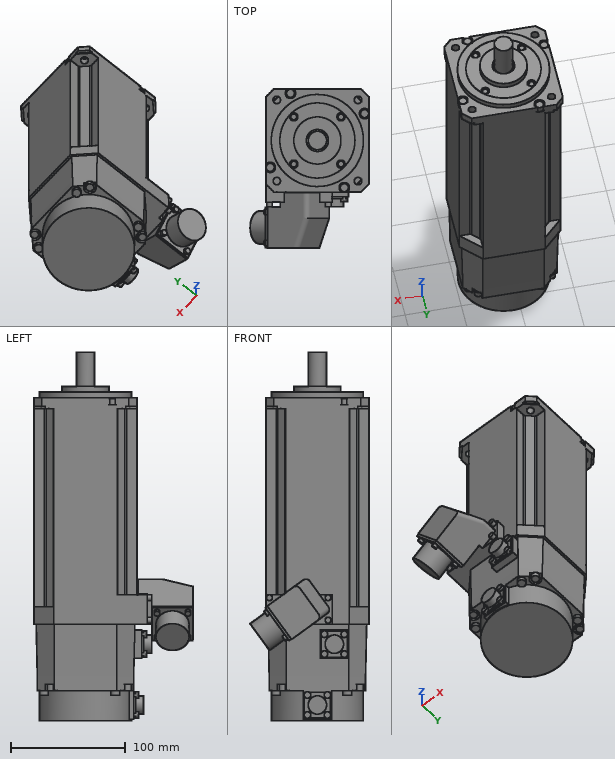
import cadquery as cq


SHAFT_TOP = 321.0
BOSS_TOP = 291.0
PILOT_TOP = 286.3
FLANGE_TOP = 281.5
CORNER_RELIEF_TOP = 273.8
GROOVE_TOP = 272.0
PAD_TOP = 109.8
GROOVE_BOTTOM = 99.5
BODY_BOTTOM = 84.0
REAR_SEAM = 38.5
REAR_BOTTOM = 26.3

BODY_HALF = 45.0
FLANGE_CHAMFER = 7.0
CORNER_RELIEF = 10.0
GROOVE_EDGE = 27.5
GROOVE_WALL_END = 36.0
GROOVE_BEVEL = (28.2, 34.5)
BODY_CHAMFER = BODY_HALF - GROOVE_EDGE

SHAFT_RADIUS = 8.0
BOSS_RADIUS = 20.5
SEAL_RADIUS = 9.5
SEAL_DEPTH = 2.0
PILOT_RADIUS = 40.0
PILOT_RECESS_RADIUS = 32.7
PILOT_RECESS_DEPTH = 0.3
PILOT_SCREW_OFFSET = 20.5
PILOT_SCREW_RADIUS = 2.5
PILOT_BORE_RADIUS = 3.5
PILOT_BORE_DEPTH = 2.5

MOUNT_HOLE_OFFSET = 35.3
MOUNT_HOLE_RADIUS = 3.2
FLANGE_SCREW_AT = (-23.5, 41.0)
FLANGE_BORE_RADIUS = 4.5
FLANGE_HEAD_RADIUS = 3.5
FLANGE_BORE_DEPTH = 6.5
SCREW_SINK = 1.0

REAR_HALF = 43.0
REAR_SEAM_HALF = 42.0
REAR_FACET_EDGE = 27.3
REAR_POCKET_AT = (-30.0, -36.3)
REAR_POCKET_RADIUS = 5.5
REAR_POCKET_HEIGHT = 5.5
REAR_SCREW_RADIUS = 3.5
COVER_RADIUS = 40.0
COVER_SCREW_AT = (26.0, -36.3)
COVER_SCREW_RADIUS = 4.0
COVER_SCREW_HEIGHT = 4.0

PAD_RIGHT = 13.0
PAD_FACE = 53.5
PAD_SCREW_X = (-41.7, 9.3)
PAD_SCREW_Z = (87.5, 107.2)
PAD_SCREW_RADIUS = 2.5

PLUG_TILT = 36.0
PLUG_X = -33.0
PLUG_Z = 85.5
PLUG_WIDTH = 36.0
PLUG_BACK = 57.8
PLUG_FRONT = 93.7
PLUG_HEEL_BACK = 45.5
PLUG_HEEL_LEFT = -29.0
PLUG_LENGTH = 42.7
PLUG_FRONT_LENGTH = 32.0
PLUG_NECK_LEFT = -32.5
PLUG_SLOPE_START = 67.7
PLUG_END_FILLET = 4.2
PLUG_PLATE = 2.2
PLUG_PLATE_INSET = 0.3
PLUG_RADIUS = 14.5
PLUG_REACH = 21.2
PLUG_SCREW_OFFSET = 13.5
PLUG_SCREW_RADIUS = 2.5
PLUG_SCREW_HEIGHT = 3.0

SOCKET_PLATE = 22.5
SOCKET_SCREW_OFFSET = 8.7
SOCKET_SCREW_RADIUS = 3.0
SOCKET_RADIUS = 8.0
SOCKET_ROOT = BODY_HALF / 2
REAR_SOCKET_X = 14.8
REAR_SOCKET_Z = 66.8
REAR_SOCKET_BLOCK = 24.7
REAR_SOCKET_FACE = 49.0
COVER_SOCKET_BLOCK = 25.0
COVER_SOCKET_Z = REAR_BOTTOM - COVER_SOCKET_BLOCK / 2
COVER_SOCKET_FACE = REAR_SEAM_HALF
SOCKET_PLATE_DEPTH = 1.5
SOCKET_SCREW_HEIGHT = 2.5
SOCKET_REACH = 8.7


def cylinder(x, y, radius, bottom, top):
    """Upright cylinder between two heights."""
    return cq.Workplane("XY", origin=(x, y, bottom)).circle(radius).extrude(top - bottom)


def block(x_range, y_range, z_range):
    """Box given by its limits along each axis."""
    size = [high - low for low, high in (x_range, y_range, z_range)]
    corner = (x_range[0], y_range[0], z_range[0])
    return cq.Workplane("XY").box(*size, centered=False).translate(corner)


def square_prism(half, bottom, top):
    """Square prism on the motor axis."""
    side = 2 * half
    return cq.Workplane("XY", origin=(0, 0, bottom)).rect(side, side).extrude(top - bottom)


def front_cylinder(x, z, radius, start, end):
    """Cylinder pointing along -Y between two distances from the motor axis."""
    plane = cq.Workplane("XZ", origin=(x, -start, z))
    return plane.circle(radius).extrude(end - start)


def four_around(shape):
    """The shape and its three copies turned by quarter turns about the motor axis."""
    group = shape
    for turn in (90, 180, 270):
        group = group.union(shape.rotate((0, 0, 0), (0, 0, 1), turn))
    return group


def corner_triangle(leg, bottom, top):
    """Triangular prism filling the (-X, -Y) corner of the body outline."""
    outline = [
        (-BODY_HALF, -BODY_HALF),
        (-BODY_HALF + leg, -BODY_HALF),
        (-BODY_HALF, -BODY_HALF + leg),
    ]
    return cq.Workplane("XY", origin=(0, 0, bottom)).polyline(outline).close().extrude(top - bottom)


def corner_groove(bottom):
    """Groove along the (-X, -Y) edge of the body, from a height up to the flange."""
    near, far = GROOVE_BEVEL
    outline = [
        (-GROOVE_EDGE, -BODY_HALF),
        (-GROOVE_EDGE, -GROOVE_WALL_END),
        (-near, -far),
        (-far, -near),
        (-GROOVE_WALL_END, -GROOVE_EDGE),
        (-BODY_HALF, -GROOVE_EDGE),
        (-BODY_HALF, -BODY_HALF),
    ]
    plane = cq.Workplane("XY", origin=(0, 0, bottom))
    return plane.polyline(outline).close().extrude(GROOVE_TOP - bottom)


def motor_body():
    """Square body and flange with grooved corners, and the connector pad."""
    body = square_prism(BODY_HALF, BODY_BOTTOM, FLANGE_TOP)
    body = body.cut(four_around(corner_triangle(FLANGE_CHAMFER, GROOVE_TOP, FLANGE_TOP)))
    body = body.cut(four_around(corner_triangle(CORNER_RELIEF, GROOVE_TOP, CORNER_RELIEF_TOP)))
    body = body.cut(four_around(corner_groove(PAD_TOP)))
    for turn in (90, 180, 270):
        lower_cut = corner_groove(GROOVE_BOTTOM)
        lower_cut = lower_cut.union(corner_triangle(BODY_CHAMFER, BODY_BOTTOM, GROOVE_BOTTOM))
        body = body.cut(lower_cut.rotate((0, 0, 0), (0, 0, 1), turn))
    pad = block((-BODY_HALF, PAD_RIGHT), (-PAD_FACE, -GROOVE_EDGE), (BODY_BOTTOM, PAD_TOP))
    body = body.union(pad)
    for x in PAD_SCREW_X:
        for z in PAD_SCREW_Z:
            body = body.union(front_cylinder(x, z, PAD_SCREW_RADIUS, PAD_FACE, PLUG_BACK))
    return body


def flange_holes(body):
    """Mounting holes in the flange corners and the sunk screws near its sides."""
    hole = cylinder(
        MOUNT_HOLE_OFFSET, MOUNT_HOLE_OFFSET, MOUNT_HOLE_RADIUS, GROOVE_TOP, FLANGE_TOP
    )
    floor = FLANGE_TOP - FLANGE_BORE_DEPTH
    bore = cylinder(*FLANGE_SCREW_AT, FLANGE_BORE_RADIUS, floor, FLANGE_TOP)
    head = cylinder(*FLANGE_SCREW_AT, FLANGE_HEAD_RADIUS, floor, FLANGE_TOP - SCREW_SINK)
    return body.cut(four_around(hole)).cut(four_around(bore)).union(four_around(head))


def shaft_end():
    """Pilot, bearing boss and shaft, with the sunk screws of the pilot."""
    pilot_floor = PILOT_TOP - PILOT_RECESS_DEPTH
    pilot = cylinder(0, 0, PILOT_RADIUS, FLANGE_TOP, PILOT_TOP)
    pilot = pilot.cut(cylinder(0, 0, PILOT_RECESS_RADIUS, pilot_floor, PILOT_TOP))
    bore_floor = pilot_floor - PILOT_BORE_DEPTH
    screw_at = (PILOT_SCREW_OFFSET, PILOT_SCREW_OFFSET)
    bore = cylinder(*screw_at, PILOT_BORE_RADIUS, bore_floor, pilot_floor)
    head = cylinder(*screw_at, PILOT_SCREW_RADIUS, bore_floor, pilot_floor - SCREW_SINK)
    pilot = pilot.cut(four_around(bore)).union(four_around(head))
    boss = cylinder(0, 0, BOSS_RADIUS, pilot_floor, BOSS_TOP)
    boss = boss.cut(cylinder(0, 0, SEAL_RADIUS, BOSS_TOP - SEAL_DEPTH, BOSS_TOP))
    shaft = cylinder(0, 0, SHAFT_RADIUS, pilot_floor, SHAFT_TOP)
    return pilot.union(boss).union(shaft)


def faceted_outline(half):
    """Square outline with cut corners, as eight points about the motor axis."""
    edge = REAR_FACET_EDGE
    points = []
    for x, y in ((1, 0), (0, 1), (-1, 0), (0, -1)):
        points.append((x * half + y * edge, y * half - x * edge))
        points.append((x * half - y * edge, y * half + x * edge))
    return points


def rear_housing():
    """Eight-sided housing, straight up to the seam and flaring above it, with pocketed screws."""
    seam_outline = faceted_outline(REAR_SEAM_HALF)
    lower = cq.Workplane("XY", origin=(0, 0, REAR_BOTTOM)).polyline(seam_outline).close()
    lower = lower.extrude(REAR_SEAM - REAR_BOTTOM)
    upper = cq.Workplane("XY", origin=(0, 0, REAR_SEAM)).polyline(seam_outline).close()
    upper = upper.workplane(offset=BODY_BOTTOM - REAR_SEAM)
    upper = upper.polyline(faceted_outline(REAR_HALF)).close().loft(ruled=True)
    housing = lower.union(upper)
    pocket_top = REAR_BOTTOM + REAR_POCKET_HEIGHT
    pocket = cylinder(*REAR_POCKET_AT, REAR_POCKET_RADIUS, REAR_BOTTOM, pocket_top)
    screw = cylinder(*REAR_POCKET_AT, REAR_SCREW_RADIUS, REAR_BOTTOM, pocket_top)
    return housing.cut(four_around(pocket)).union(four_around(screw))


def cover():
    """Round cover at the rear with its screws tucked under the housing."""
    screw = cylinder(
        *COVER_SCREW_AT, COVER_SCREW_RADIUS, REAR_BOTTOM - COVER_SCREW_HEIGHT, REAR_BOTTOM
    )
    return cylinder(0, 0, COVER_RADIUS, 0, REAR_BOTTOM).union(four_around(screw))


def socket(x, z, block_size, face):
    """Signal socket facing -Y: block, plate, four screws and a round plug."""
    plate_face = face + SOCKET_PLATE_DEPTH
    base = cq.Workplane("XZ", origin=(x, -SOCKET_ROOT, z)).rect(block_size, block_size)
    shape = base.extrude(face - SOCKET_ROOT)
    plate = cq.Workplane("XZ", origin=(x, -face, z)).rect(SOCKET_PLATE, SOCKET_PLATE)
    shape = shape.union(plate.extrude(SOCKET_PLATE_DEPTH))
    for side in (-1, 1):
        for level in (-1, 1):
            screw_x = x + side * SOCKET_SCREW_OFFSET
            screw_z = z + level * SOCKET_SCREW_OFFSET
            screw_end = plate_face + SOCKET_SCREW_HEIGHT
            shape = shape.union(
                front_cylinder(screw_x, screw_z, SOCKET_SCREW_RADIUS, face, screw_end)
            )
    return shape.union(front_cylinder(x, z, SOCKET_RADIUS, face, face + SOCKET_REACH))


def power_plug():
    """Angled connector: hood with neck and heel, mating plate with screws, and round plug."""
    outline = [
        (0, -PLUG_HEEL_BACK),
        (PLUG_LENGTH, -PLUG_HEEL_BACK),
        (PLUG_LENGTH, -PLUG_SLOPE_START),
        (PLUG_FRONT_LENGTH, -PLUG_FRONT),
        (0, -PLUG_FRONT),
    ]
    half = PLUG_WIDTH / 2
    plug = cq.Workplane("XY").polyline(outline).close().extrude(half, both=True)
    for side in (-1, 1):
        end_edges = cq.selectors.BoxSelector(
            (PLUG_FRONT_LENGTH, -PLUG_FRONT, side * PLUG_RADIUS),
            (PLUG_LENGTH + PLUG_PLATE, 0, side * PLUG_WIDTH),
        )
        plug = plug.edges(end_edges).fillet(PLUG_END_FILLET)
    middle = (PLUG_BACK + PLUG_FRONT) / 2
    depth = PLUG_FRONT - PLUG_BACK
    back_face = cq.Workplane("YZ", origin=(0, -middle, 0))
    plate = back_face.rect(depth - 2 * PLUG_PLATE_INSET, PLUG_WIDTH - 2 * PLUG_PLATE_INSET)
    plug = plug.union(plate.extrude(-PLUG_PLATE))
    plug = plug.union(back_face.circle(PLUG_RADIUS).extrude(-PLUG_REACH))
    screws = back_face.rect(2 * PLUG_SCREW_OFFSET, 2 * PLUG_SCREW_OFFSET, forConstruction=True)
    screws = screws.vertices().circle(PLUG_SCREW_RADIUS)
    plug = plug.union(screws.extrude(-PLUG_PLATE - PLUG_SCREW_HEIGHT))
    plug = plug.rotate((0, 0, 0), (0, 1, 0), -PLUG_TILT).translate((PLUG_X, 0, PLUG_Z))
    neck_depth = (-PLUG_BACK, -PAD_FACE)
    plug = plug.cut(block((-BODY_HALF, PLUG_NECK_LEFT), neck_depth, (0, PAD_TOP)))
    plug = plug.cut(block((-BODY_HALF, BODY_HALF), neck_depth, (0, BODY_BOTTOM)))
    heel_depth = (-PAD_FACE, 0)
    plug = plug.cut(block((-BODY_HALF, PLUG_HEEL_LEFT), heel_depth, (0, FLANGE_TOP)))
    return plug.cut(block((-BODY_HALF, BODY_HALF), heel_depth, (0, PAD_TOP)))


result = (
    flange_holes(motor_body())
    .union(shaft_end())
    .union(rear_housing())
    .union(cover())
    .union(socket(REAR_SOCKET_X, REAR_SOCKET_Z, REAR_SOCKET_BLOCK, REAR_SOCKET_FACE))
    .union(socket(0, COVER_SOCKET_Z, COVER_SOCKET_BLOCK, COVER_SOCKET_FACE))
    .union(power_plug())
)